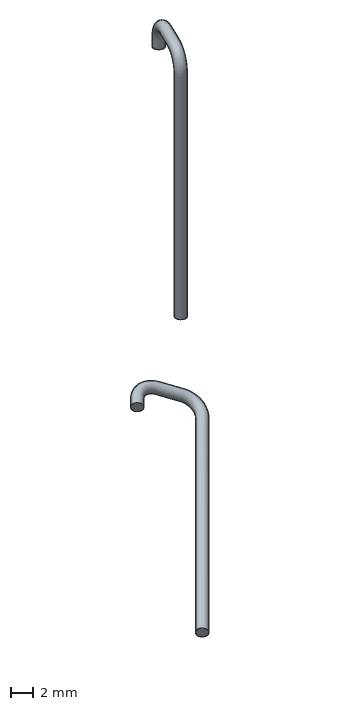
import cadquery as cq

total_height = 28.7
total_width = 7.55
rod_diameter = 1.2
bend_radius = 2.0
short_leg_length = 1.0

rod_radius = rod_diameter / 2
leg_spacing = total_width - rod_diameter
top_z = total_height - rod_radius
bend_start_z = top_z - bend_radius
short_leg_end_z = bend_start_z - short_leg_length


def hook_centreline():
    """Long leg, quarter bend, top bar, quarter bend and short leg."""
    return (
        cq.Workplane("XZ")
        .moveTo(0, 0)
        .lineTo(0, bend_start_z)
        .tangentArcPoint((-bend_radius, top_z), relative=False)
        .lineTo(-leg_spacing + bend_radius, top_z)
        .tangentArcPoint((-leg_spacing, bend_start_z), relative=False)
        .lineTo(-leg_spacing, short_leg_end_z)
    )


result = cq.Workplane("XY").circle(rod_radius).sweep(hook_centreline())